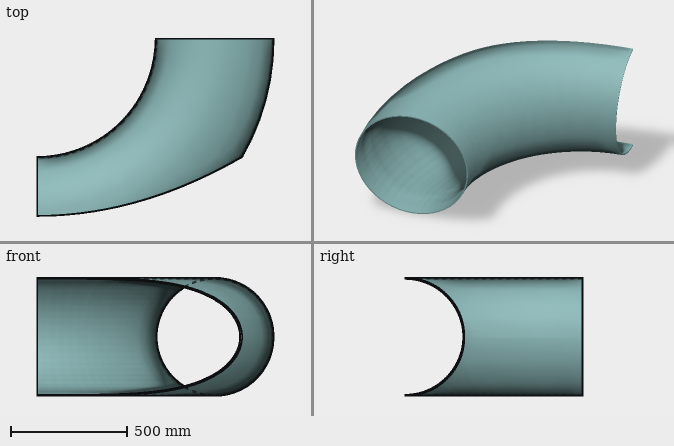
import cadquery as cq

pipe_radius = 254.0
wall = 5.0
bend_radius = 3 * pipe_radius
bend_angle = 90.0
bore_radius = pipe_radius - wall

cut_margin = 102.0
cut_reach = bend_radius + pipe_radius + cut_margin
cut_half_height = pipe_radius + cut_margin
curve_points = 40


def solid_bend(tube_radius):
    """Solid bend from the end at Y = 0 round to the end at X = 0, on the -Y side."""
    return (
        cq.Workplane("XZ")
        .center(bend_radius, 0)
        .circle(tube_radius)
        .revolve(bend_angle, (-bend_radius, 0), (-bend_radius, -1))
    )


def saddle_y(x):
    """Parabola where the bend meets a straight run of equal radius along X."""
    return -bend_radius + x**2 / (4 * bend_radius)


def saddle_point(t):
    """Point on the saddle line, for t from 0 at the X = 0 end to 1 at full reach."""
    x = cut_reach * t
    return x, saddle_y(x)


def saddle_cutter():
    """Block filling the -Y side of the saddle line, through the full height."""
    return (
        cq.Workplane("XY")
        .parametricCurve(saddle_point, N=curve_points, makeWire=False)
        .lineTo(cut_reach, -cut_reach)
        .lineTo(-cut_margin, -cut_reach)
        .lineTo(-cut_margin, saddle_y(0))
        .close()
        .extrude(cut_half_height, both=True)
    )


elbow = solid_bend(pipe_radius).cut(solid_bend(bore_radius))
result = elbow.cut(saddle_cutter())